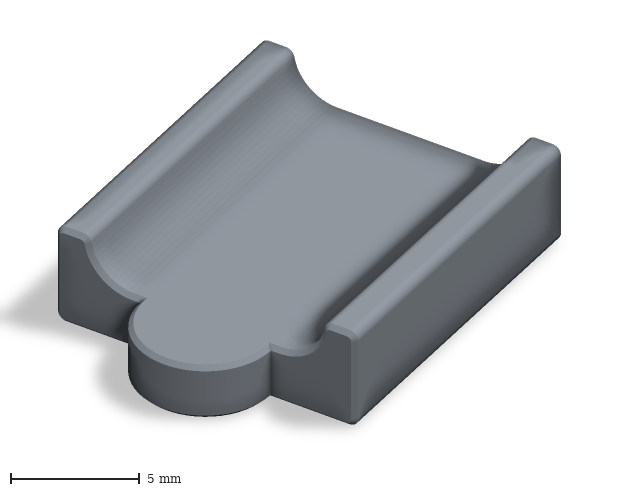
import cadquery as cq

overall_length = 18.0
width = 13.8
height = 4.5
tongue_radius = 3.0
floor_height = 2.5
floor_half_width = 3.38
edge_round = 0.4
end_chamfer = 0.2
tolerance = 0.0002

body_length = overall_length - tongue_radius
cove_radius = height - floor_height
channel_half_width = floor_half_width + cove_radius


def channel_body():
    """Flat-bottomed channel with quarter-round coves, front end at Y = 0."""
    block = (
        cq.Workplane("XY")
        .box(width, body_length, height, centered=(True, False, False))
    )
    cove_offset = cove_radius * 0.5**0.5
    cove_middle_x = floor_half_width + cove_offset
    cove_middle_z = height - cove_offset
    channel = (
        cq.Workplane("XZ")
        .moveTo(-channel_half_width, height)
        .threePointArc((-cove_middle_x, cove_middle_z), (-floor_half_width, floor_height))
        .lineTo(floor_half_width, floor_height)
        .threePointArc((cove_middle_x, cove_middle_z), (channel_half_width, height))
        .close()
        .extrude(-body_length)
    )
    body = block.cut(channel)
    return body.edges("|Y and (<X or >X or >Z)").fillet(edge_round)


def add_tongue(body):
    """Rounded tongue centred on the front end, level with the channel floor."""
    tongue = cq.Workplane("XY").circle(tongue_radius).extrude(floor_height)
    return body.union(tongue)


def is_front_outline(edge):
    """True for front edges, except the inside corners where the tongue meets the body."""
    at_front = edge.BoundingBox().ymax < end_chamfer
    start, end = edge.startPoint(), edge.endPoint()
    is_vertical = edge.geomType() == "LINE" and abs(start.x - end.x) + abs(start.y - end.y) < tolerance
    is_inside_corner = is_vertical and abs(start.x) < channel_half_width
    return at_front and not is_inside_corner


def bevel_front(part):
    """Chamfer the outline of the front end and both rims of the tongue."""
    front_edges = [edge for edge in part.edges().vals() if is_front_outline(edge)]
    return part.newObject(front_edges).chamfer(end_chamfer)


part = bevel_front(add_tongue(channel_body()))
result = part.translate((0, (tongue_radius - body_length) / 2, -height / 2))